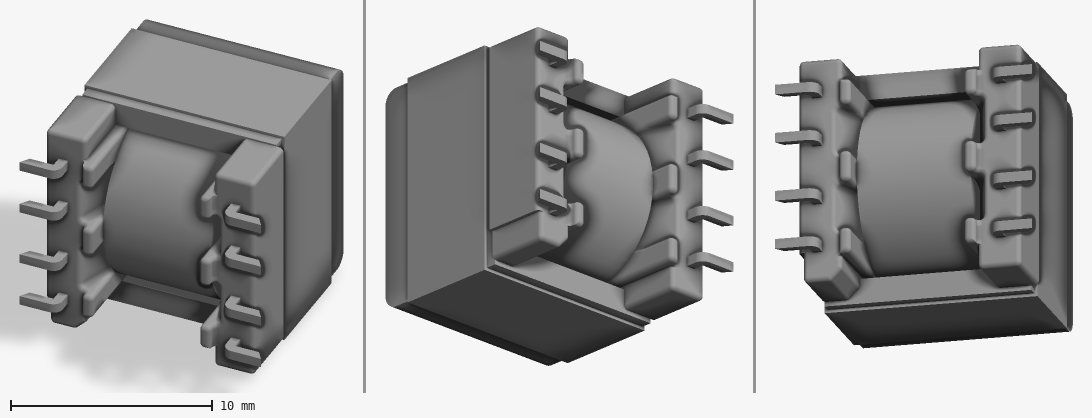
import cadquery as cq
import math

CORE_WIDTH = 10.6
CORE_HEIGHT = 11.81
CORE_DEPTH = 7.91
CORE_BACK_RADIUS = 0.79
CAVITY_RADIUS = 4.62

TAPE_THICKNESS = 0.16
TAPE_FRONT = 0.6
TAPE_WIDTH = 5.55

AXIS_Y = 1.81
COIL_RADIUS = 4.5
COIL_HALF_LENGTH = 2.92
BARREL_RADIUS = 2.11

BOBBIN_Z = 0.07
FLANGE_RADIUS = COIL_RADIUS
FLANGE_THICKNESS = 0.58
RIB_FRONT = -3.99
EDGE_RADIUS = 0.24

BLOCK_OUTER = 5.69
BLOCK_FRONT = -3.48
BLOCK_HALF_HEIGHT = 5.74

STEP_DEPTH = 0.22
STEP_Z = -4.22
CORNER_CHAMFER = 0.6

RECESS_INNER_Z = 0.78
RECESS_OUTER_Z = 3.21
RECESS_MOUTH_X = 3.87
RECESS_ANGLE = 20.0
RECESS_CORNER_RADIUS = 0.26

PIN_SIZE = 0.5
PIN_INNER_X = 4.46
PIN_TIP_X = 6.6
PIN_TIP_SLANT = 0.34
PIN_FRONT = -4.61
PIN_HEIGHTS = (-4.0, -1.5, 1.5, 4.0)

CLEARANCE = 0.26
SELECT_MARGIN = 0.01

FLANGE_OUTER = COIL_HALF_LENGTH + FLANGE_THICKNESS


def mirror_x(body):
    return body.mirror("YZ")


def round_slot(radius, front, x_start, length):
    """Plate along +X with a round back about the winding axis and straight sides running to the front."""
    return (
        cq.Workplane("YZ", origin=(x_start, 0, 0))
        .moveTo(front, -radius)
        .lineTo(AXIS_Y, -radius)
        .threePointArc((AXIS_Y + radius, 0), (AXIS_Y, radius))
        .lineTo(front, radius)
        .close()
        .extrude(length)
    )


def arc_inset(radius):
    """How far the middle of a quarter arc lies from each of its two tangent sides."""
    return radius * (1 - math.sqrt(0.5))


def box_between(x_range, y_range, z_range):
    lows, highs = zip(x_range, y_range, z_range)
    sizes = [high - low for low, high in zip(lows, highs)]
    return cq.Workplane("XY").box(*sizes, centered=False).translate(lows)


def core_half():
    half_height = CORE_HEIGHT / 2
    body = box_between((0, CORE_WIDTH / 2), (0, CORE_DEPTH), (-half_height, half_height))
    body = body.edges("|X and >Y").fillet(CORE_BACK_RADIUS)
    return body.cut(round_slot(CAVITY_RADIUS, 0, 0, FLANGE_OUTER))


def tape_band():
    return (
        cq.Workplane("XZ", origin=(0, TAPE_FRONT, 0))
        .rect(CORE_WIDTH + 2 * TAPE_THICKNESS, CORE_HEIGHT + 2 * TAPE_THICKNESS)
        .rect(CORE_WIDTH, CORE_HEIGHT)
        .extrude(-TAPE_WIDTH)
    )


def winding_cylinder(radius):
    plane = cq.Workplane("YZ", origin=(-COIL_HALF_LENGTH, AXIS_Y, BOBBIN_Z))
    return plane.circle(radius).extrude(2 * COIL_HALF_LENGTH)


def coil_sleeve():
    return winding_cylinder(COIL_RADIUS).cut(winding_cylinder(BARREL_RADIUS))


def flange():
    """Flange plate with a concave rounding that leads from its outer side to the front of the block."""
    plate = round_slot(FLANGE_RADIUS, RIB_FRONT, COIL_HALF_LENGTH, FLANGE_THICKNESS)
    bend = arc_inset(EDGE_RADIUS)
    web = (
        cq.Workplane("XY", origin=(0, 0, -FLANGE_RADIUS))
        .moveTo(FLANGE_OUTER, BLOCK_FRONT - EDGE_RADIUS)
        .threePointArc(
            (FLANGE_OUTER + bend, BLOCK_FRONT - bend), (FLANGE_OUTER + EDGE_RADIUS, BLOCK_FRONT)
        )
        .lineTo(FLANGE_OUTER + EDGE_RADIUS, 0)
        .lineTo(FLANGE_OUTER, 0)
        .close()
        .extrude(2 * FLANGE_RADIUS)
    )
    return plate.union(web)


def plain_block():
    body = box_between(
        (FLANGE_OUTER, BLOCK_OUTER), (BLOCK_FRONT, 0), (-BLOCK_HALF_HEIGHT, BLOCK_HALF_HEIGHT)
    )
    return body.edges("|Y or <Y").fillet(EDGE_RADIUS)


def marked_block():
    """Block with a stepped lower end and one chamfered corner."""
    upper = box_between((FLANGE_OUTER, BLOCK_OUTER), (BLOCK_FRONT, 0), (STEP_Z, BLOCK_HALF_HEIGHT))
    upper = upper.edges("(|Y or <Y) and (not <Z)").fillet(EDGE_RADIUS)
    lower = box_between(
        (FLANGE_OUTER, BLOCK_OUTER - STEP_DEPTH), (BLOCK_FRONT, 0), (-BLOCK_HALF_HEIGHT, STEP_Z)
    )
    lower = lower.edges("|Y and <Z and <X").chamfer(CORNER_CHAMFER)
    lower = lower.edges("(|Y or <Y) and (not >Z)").fillet(EDGE_RADIUS)
    return upper.union(lower)


def recess():
    """Cutter for the upper wire recess: its floor slopes outward to the mouth."""
    slope = math.tan(math.radians(RECESS_ANGLE))
    start_x = COIL_HALF_LENGTH - CLEARANCE
    start_y = BLOCK_FRONT + (RECESS_MOUTH_X - start_x) / slope
    end_y = RIB_FRONT - CLEARANCE
    end_x = RECESS_MOUTH_X + (BLOCK_FRONT - end_y) * slope
    cutter = (
        cq.Workplane("XY", origin=(0, 0, RECESS_INNER_Z))
        .moveTo(start_x, start_y)
        .lineTo(end_x, end_y)
        .lineTo(start_x, end_y)
        .close()
        .extrude(RECESS_OUTER_Z - RECESS_INNER_Z)
    )
    floor_normal = cq.Vector(1, slope, 0)
    floor_corners = cutter.faces(cq.selectors.DirectionMinMaxSelector(floor_normal)).edges("not |Z")
    return cutter.newObject(floor_corners.vals()).fillet(RECESS_CORNER_RADIUS)


def edges_within(x_range, y_range, z_range):
    """Selector for the edges whose middle lies in the given box, widened a little on every side."""
    lows, highs = zip(x_range, y_range, z_range)
    return cq.selectors.BoxSelector(
        [low - SELECT_MARGIN for low in lows], [high + SELECT_MARGIN for high in highs]
    )


def round_ribs(side):
    """Round the rib fronts, the recess walls and mouths, and the winding-side ends of the flange."""
    rib_x = (COIL_HALF_LENGTH, FLANGE_OUTER + EDGE_RADIUS)
    mouth_x = ((rib_x[1] + RECESS_MOUTH_X) / 2, RECESS_MOUTH_X)
    depth = (RIB_FRONT, 0)
    chosen = cq.selectors.DirectionMinMaxSelector(cq.Vector(0, -1, 0))
    for sign in (-1, 1):
        for wall in (RECESS_INNER_Z, RECESS_OUTER_Z):
            chosen = chosen + edges_within(rib_x, depth, (sign * wall, sign * wall))
        mouth_z = sorted((sign * RECESS_INNER_Z, sign * RECESS_OUTER_Z))
        chosen = chosen + edges_within(mouth_x, (BLOCK_FRONT, BLOCK_FRONT), mouth_z)
        end_z = sign * FLANGE_RADIUS
        chosen = chosen + edges_within((COIL_HALF_LENGTH, COIL_HALF_LENGTH), depth, (end_z, end_z))
    return side.edges(chosen).fillet(EDGE_RADIUS)


def pin():
    knee = arc_inset(PIN_SIZE)
    foot_back = PIN_FRONT + PIN_SIZE
    return (
        cq.Workplane("XY", origin=(0, 0, -PIN_SIZE / 2))
        .moveTo(PIN_INNER_X, BLOCK_FRONT)
        .lineTo(PIN_INNER_X, foot_back)
        .threePointArc((PIN_INNER_X + knee, PIN_FRONT + knee), (PIN_INNER_X + PIN_SIZE, PIN_FRONT))
        .lineTo(PIN_TIP_X, PIN_FRONT)
        .lineTo(PIN_TIP_X - PIN_TIP_SLANT, foot_back)
        .lineTo(PIN_INNER_X + PIN_SIZE, foot_back)
        .lineTo(PIN_INNER_X + PIN_SIZE, BLOCK_FRONT)
        .close()
        .extrude(PIN_SIZE)
    )


def bobbin_side(block):
    side = flange().union(block)
    side = side.cut(recess()).cut(recess().mirror("XY"))
    side = round_ribs(side)
    for height in PIN_HEIGHTS:
        side = side.union(pin().translate((0, 0, height)))
    return side.translate((0, 0, BOBBIN_Z))


left_core = mirror_x(core_half())
right_core = core_half()
tape = tape_band()
coil = coil_sleeve()
bobbin = (
    winding_cylinder(BARREL_RADIUS)
    .union(bobbin_side(plain_block()))
    .union(mirror_x(bobbin_side(marked_block())))
)

result = cq.Compound.makeCompound(
    [left_core.val(), right_core.val(), tape.val(), coil.val(), bobbin.val()]
)